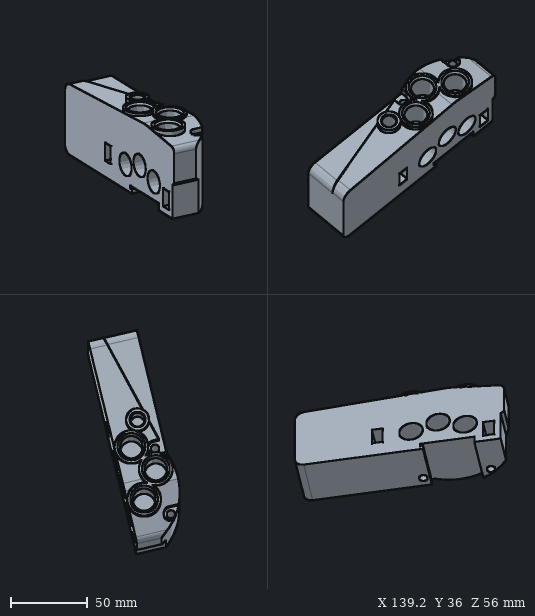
import cadquery as cq
import math

LENGTH = 139.2
BLOCK_DEPTH = 32.9
FULL_DEPTH = 36.0
TOP_Z = 56.0

LEFT_CORNER_Z = 49.7
RIDGE_X = 102.2
RIDGE_Z = 54.8
RIGHT_CORNER_Z = 50.4
FOOT_END_X = 136.8
STEP_LOW_Z = 23.7
STEP_HIGH_Z = 25.9
BASE_RADIUS = 6.0
LEFT_TOP_RADIUS = 6.8
RIDGE_RADIUS = 30.6
RIGHT_TOP_RADIUS = 4.2

RAIL_LEFT = 85.2
RAIL_RIGHT = 119.3
RAIL_HEIGHT = 5.0
UNDERCUT_X = 83.1
LIP_Z = 3.2

BULGE_X = 103.5
BULGE_RADIUS = 42.5
BULGE_Y = FULL_DEPTH - BULGE_RADIUS

MOUNT_XS = (80.7, 125.7)
MOUNT_Y = 26.0
MOUNT_DIAMETER = 5.4
NOTCH_RADIUS = 4.7

SHELF_Z = 49.0
SHELF_RADIUS = 6.1
SHELF_EDGE_START_Y = 10.2
SHELF_EDGE_END_Y = 29.8

PORT_PITCH = 18.0
MIDDLE_PORT_X = 95.2
OUTER_PORT_XS = (MIDDLE_PORT_X - PORT_PITCH, MIDDLE_PORT_X + PORT_PITCH)

TOP_PORT_RADIUS = 11.0
TOP_PORT_BORE = 14.9
TOP_PORT_MOUTH = 18.1
TOP_PORT_DEPTH = 19.5
TOP_PORT_CONE = 1.7
OUTER_TOP_Y = TOP_PORT_RADIUS
MIDDLE_TOP_Y = 23.1

PILOT_X = 60.5
PILOT_Y = 19.1
PILOT_BOSS_RADIUS = 7.5
PILOT_BORE = 9.3
PILOT_MOUTH = 10.3
PILOT_CONE = 0.7
PILOT_DEPTH = 13.9

FRONT_PORT_DIAMETER = 15.6
FRONT_PORT_DEPTH = 20.9
OUTER_FRONT_Z = 18.0
MIDDLE_FRONT_Z = 23.4

POCKET_HEIGHT = 12.7
POCKET_DEPTH = 15.3
LEFT_POCKET = (51.2, 11.7, 7.2)
RIGHT_POCKET = (125.0, 5.0, 7.5)


def make_body():
    """Side outline extruded rearward and trimmed to the bulged plan outline."""
    side = (
        cq.Workplane("XZ")
        .moveTo(0, 0)
        .lineTo(RAIL_LEFT, 0)
        .lineTo(RAIL_LEFT, LIP_Z)
        .lineTo(UNDERCUT_X, LIP_Z)
        .lineTo(UNDERCUT_X, RAIL_HEIGHT)
        .lineTo(RAIL_RIGHT, RAIL_HEIGHT)
        .lineTo(RAIL_RIGHT, 0)
        .lineTo(FOOT_END_X, 0)
        .lineTo(FOOT_END_X, STEP_LOW_Z)
        .lineTo(LENGTH, STEP_HIGH_Z)
        .lineTo(LENGTH, RIGHT_CORNER_Z)
        .lineTo(RIDGE_X, RIDGE_Z)
        .lineTo(0, LEFT_CORNER_Z)
        .close()
        .extrude(-FULL_DEPTH)
    )
    corners = (
        (0, 0, BASE_RADIUS),
        (0, LEFT_CORNER_Z, LEFT_TOP_RADIUS),
        (RIDGE_X, RIDGE_Z, RIDGE_RADIUS),
        (LENGTH, RIGHT_CORNER_Z, RIGHT_TOP_RADIUS),
    )
    for x, z, radius in corners:
        edge = cq.selectors.NearestToPointSelector((x, FULL_DEPTH / 2, z))
        side = side.edges("|Y").edges(edge).fillet(radius)

    bulge_start_x = BULGE_X - math.sqrt(BULGE_RADIUS**2 - (BLOCK_DEPTH - BULGE_Y) ** 2)
    bulge_end_y = BULGE_Y + math.sqrt(BULGE_RADIUS**2 - (LENGTH - BULGE_X) ** 2)
    plan = (
        cq.Workplane("XY")
        .moveTo(0, 0)
        .lineTo(LENGTH, 0)
        .lineTo(LENGTH, bulge_end_y)
        .threePointArc((BULGE_X, FULL_DEPTH), (bulge_start_x, BLOCK_DEPTH))
        .lineTo(0, BLOCK_DEPTH)
        .close()
        .extrude(TOP_Z)
    )
    return side.intersect(plan)


def shelf_cutter():
    """Material above the rear shelf, whose left end is rounded over."""
    notch_start_x = MOUNT_XS[0] - NOTCH_RADIUS
    notch_end_x = MOUNT_XS[0] + NOTCH_RADIUS
    above = (
        cq.Workplane("XZ")
        .moveTo(0, SHELF_Z - SHELF_RADIUS)
        .radiusArc((SHELF_RADIUS, SHELF_Z), SHELF_RADIUS)
        .lineTo(notch_end_x, SHELF_Z)
        .lineTo(notch_end_x, TOP_Z)
        .lineTo(0, TOP_Z)
        .close()
        .extrude(-FULL_DEPTH)
    )
    plan = (
        cq.Workplane("XY")
        .moveTo(0, SHELF_EDGE_START_Y)
        .lineTo(notch_start_x, SHELF_EDGE_END_Y)
        .lineTo(notch_start_x, FULL_DEPTH)
        .lineTo(0, FULL_DEPTH)
        .close()
        .extrude(TOP_Z)
    )
    return above.intersect(plan)


def mount_notch(x):
    """U-shaped notch round a mounting hole, open to the rear."""
    return (
        cq.Workplane("XY", origin=(x, MOUNT_Y, SHELF_Z))
        .moveTo(-NOTCH_RADIUS, 0)
        .threePointArc((0, -NOTCH_RADIUS), (NOTCH_RADIUS, 0))
        .lineTo(NOTCH_RADIUS, FULL_DEPTH - MOUNT_Y)
        .lineTo(-NOTCH_RADIUS, FULL_DEPTH - MOUNT_Y)
        .close()
        .extrude(TOP_Z - SHELF_Z)
    )


def boss(x, y, radius):
    """Round collar rising from shelf level to the highest plane."""
    return cq.Workplane("XY", origin=(x, y, SHELF_Z)).circle(radius).extrude(TOP_Z - SHELF_Z)


def top_bore(x, y, mouth, bore, cone, depth):
    """Blind bore from the boss top with a conical mouth."""
    return (
        cq.Workplane("XZ", origin=(x, y, TOP_Z))
        .moveTo(0, 0)
        .lineTo(mouth / 2, 0)
        .lineTo(bore / 2, -cone)
        .lineTo(bore / 2, -depth)
        .lineTo(0, -depth)
        .close()
        .revolve(360, (0, 0, 0), (0, 1, 0))
    )


def front_bore(x, z):
    """Blind bore from the front face."""
    return (
        cq.Workplane("XZ", origin=(x, 0, z))
        .circle(FRONT_PORT_DIAMETER / 2)
        .extrude(-FRONT_PORT_DEPTH)
    )


def front_pocket(x, z, width):
    """Rectangular recess with its lower left corner at X, Z."""
    return cq.Workplane("XY", origin=(x, 0, z)).box(
        width, POCKET_DEPTH, POCKET_HEIGHT, centered=False
    )


def pilot_tube():
    """Round wall about the pilot port axis, left standing in the pocket it passes."""
    return cq.Workplane("XY").center(PILOT_X, PILOT_Y).circle(PILOT_BOSS_RADIUS).extrude(TOP_Z)


body = make_body().cut(shelf_cutter())
for mount_x in MOUNT_XS:
    body = body.cut(mount_notch(mount_x))

main_ports = [(x, OUTER_TOP_Y) for x in OUTER_PORT_XS] + [(MIDDLE_PORT_X, MIDDLE_TOP_Y)]
body = body.union(boss(PILOT_X, PILOT_Y, PILOT_BOSS_RADIUS))
for x, y in main_ports:
    body = body.union(boss(x, y, TOP_PORT_RADIUS))

body = body.cut(top_bore(PILOT_X, PILOT_Y, PILOT_MOUTH, PILOT_BORE, PILOT_CONE, PILOT_DEPTH))
for x, y in main_ports:
    body = body.cut(top_bore(x, y, TOP_PORT_MOUTH, TOP_PORT_BORE, TOP_PORT_CONE, TOP_PORT_DEPTH))

for x in OUTER_PORT_XS:
    body = body.cut(front_bore(x, OUTER_FRONT_Z))
body = body.cut(front_bore(MIDDLE_PORT_X, MIDDLE_FRONT_Z))

body = body.cut(front_pocket(*LEFT_POCKET).cut(pilot_tube()))
body = body.cut(front_pocket(*RIGHT_POCKET))

mount_holes = (
    cq.Workplane("XY")
    .pushPoints([(x, MOUNT_Y) for x in MOUNT_XS])
    .circle(MOUNT_DIAMETER / 2)
    .extrude(TOP_Z)
)
result = body.cut(mount_holes)